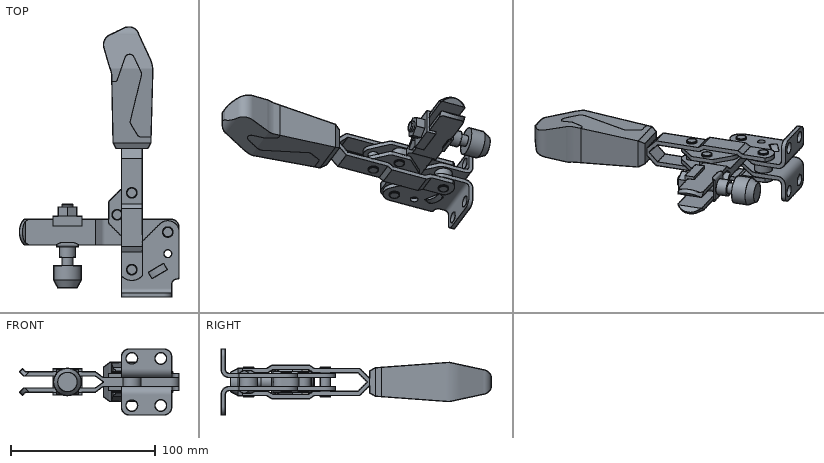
import cadquery as cq
import math


SHEET = 3.0
PLATE_IN = SHEET
PLATE_OUT = PLATE_IN + SHEET
MITRE_SHIFT = SHEET * math.tan(math.radians(45) / 2)
LEVER_IN = 6.4
LEVER_OUT = LEVER_IN + SHEET
PIN_R = 7.3 / 2
PIN_HEAD = 1.1
PIN_CHAMFER = 0.4
REACH = 37.5

LEVER_PIVOT = (0, 19.1)
ARM_PIVOT = (25.0, 45.2)
LINK_LEVER_PIN = (0, 72.4)
LINK_ARM_PIN = (-10.1, 57.2)

BASE_LEFT = -7.3
FOOT_RIGHT = 27.8
BASE_RIGHT = 32.8
BASE_TOP_R = 7.9
BASE_CORNER_R = 7.5
STEP_Y = 12.5
STEP_CORNER_R = 1.3
STEP_FILLET_R = 3.5
BEND_R = 5.8
FOOT_HALF_Z = 46.0 / 2
FOOT_CORNER_R = 5.6
FOOT_HOLE_R = 4.0
FOOT_HOLE_Z = 16.3
FOOT_HOLE_PITCH = 20.0
SPACER_R = 6.2
LOCK_HOLE = (25.0, 30.2)
LOCK_HOLE_R = 2.6
LUG_CENTER = (18.0, 18.2)
LUG_LENGTH = 12.4
LUG_WIDTH = 5.0
LUG_RISE = 1.9
LUG_ANGLE = 31

ARM_BOTTOM = 36.2
ARM_TOP = 54.2
ARM_MIDDLE_Y = (ARM_BOTTOM + ARM_TOP) / 2
ARM_TIP = -78.0
ARM_OUT = 7.1
ARM_IN = ARM_OUT - SHEET
ARM_SPREAD_X = -25.3
ARM_JOIN_X = -19.7
LIP_RISE = 3.0
LIP_SAG = 4.9
ARM_JOIN_R = 3.8
ARM_END_R = 5.8
EAR_R = 5.0

LINK_R = 7.1
LINK_LOW_Y = 45.2
LINK_NOSE_X = -16.1
LINK_NOSE_R = 2.8

LEVER_HALF_X = 7.3
LEVER_END_Y = 11.6
LEVER_SHOULDER_Y = 15.0
LEVER_TOP = 103.0
LEVER_FORK_Y = 96.2
BULGE = 2.2
BULGE_LOW = (31.5, 35.2)
BULGE_HIGH = (61.5, 64.7)

GRIP_COLLAR_Y = 107.0
GRIP_WIDEST_Y = 158.2
GRIP_HALF_Z = 13.7
GRIP_ROUND_Y = 181.7
GRIP_TOP = 187.5

SPINDLE_X = -44.6
STUD_R = 4.0
STUD_TOP = 64.7
STUD_CHAMFER = 0.8
PAD_R = 9.5
PAD_FACE_R = 6.8
PAD_BOTTOM, PAD_EDGE, PAD_TOP = 6.5, 11.8, 22.0
COLLAR_R = 5.6
COLLAR_BOTTOM = 27.5
NUT_FLATS = 13.0
NUT_HEIGHT = 6.4
SADDLE_HALF_X = 10.1
SADDLE_SHEET = 2.0
SADDLE_DEPTH = 4.7
WASHER_HALF_X = 7.5
WASHER_SHEET = 1.3
WASHER_SHOULDER = 0.4
WASHER_DEPTH = 1.7
WASHER_TAPER = 2.8
WASHER_BEND_R = 1.5


def slab(sketch, low, high):
    """Extrude an XY outline between two Z heights."""
    return sketch.extrude(high - low).translate((0, 0, low))


def disc(center, radius, low, high):
    return slab(cq.Workplane("XY").center(*center).circle(radius), low, high)


def box(x_range, y_range, z_range):
    sizes = [high - low for low, high in (x_range, y_range, z_range)]
    return cq.Workplane("XY").box(*sizes, centered=False).translate((x_range[0], y_range[0], z_range[0]))


def nearest(x, y, z):
    return cq.selectors.NearestToPointSelector((x, y, z))


def with_mirror(half):
    return half.union(half.mirror("XY"))


def pin(center, outer_face):
    """Pin through the full stack, with chamfered ends proud of the outer sheets."""
    half_length = outer_face + PIN_HEAD
    return disc(center, PIN_R, -half_length, half_length).faces("<Z or >Z").chamfer(PIN_CHAMFER)


def pin_hole(center):
    return disc(center, PIN_R, -LEVER_OUT, LEVER_OUT)


def base_web():
    diagonal = BASE_TOP_R * math.sqrt(0.5)
    tangent_x = ARM_PIVOT[0] - diagonal
    tangent_y = ARM_PIVOT[1] + diagonal
    left_corner_y = tangent_y - (tangent_x - BASE_LEFT)
    outline = (
        cq.Workplane("XY")
        .moveTo(BASE_LEFT, BEND_R)
        .lineTo(BASE_LEFT, left_corner_y)
        .lineTo(tangent_x, tangent_y)
        .threePointArc(
            (ARM_PIVOT[0] + diagonal, ARM_PIVOT[1] + diagonal),
            (ARM_PIVOT[0] + BASE_TOP_R, ARM_PIVOT[1]),
        )
        .lineTo(BASE_RIGHT, STEP_Y)
        .lineTo(FOOT_RIGHT, STEP_Y)
        .lineTo(FOOT_RIGHT, BEND_R)
        .close()
    )
    web = slab(outline, PLATE_IN, PLATE_OUT)
    middle_z = (PLATE_IN + PLATE_OUT) / 2
    web = web.edges(nearest(BASE_LEFT, left_corner_y, middle_z)).fillet(BASE_CORNER_R)
    web = web.edges(nearest(FOOT_RIGHT, STEP_Y, middle_z)).fillet(STEP_FILLET_R)
    return web.edges(nearest(BASE_RIGHT, STEP_Y, middle_z)).fillet(STEP_CORNER_R)


def base_foot():
    inner_r = BEND_R - SHEET
    bend_z = PLATE_IN + BEND_R
    slope = math.sqrt(0.5)
    foot = (
        cq.Workplane("YZ")
        .moveTo(BEND_R, PLATE_IN)
        .threePointArc((BEND_R * (1 - slope), bend_z - BEND_R * slope), (0, bend_z))
        .lineTo(0, FOOT_HALF_Z)
        .lineTo(SHEET, FOOT_HALF_Z)
        .lineTo(SHEET, bend_z)
        .threePointArc((BEND_R - inner_r * slope, bend_z - inner_r * slope), (BEND_R, PLATE_OUT))
        .close()
        .extrude(FOOT_RIGHT - BASE_LEFT)
        .translate((BASE_LEFT, 0, 0))
    )
    foot = foot.faces(">Z").edges("|Y").fillet(FOOT_CORNER_R)
    holes = (
        cq.Workplane("XZ")
        .pushPoints([(0, FOOT_HOLE_Z), (FOOT_HOLE_PITCH, FOOT_HOLE_Z)])
        .circle(FOOT_HOLE_R)
        .extrude(-SHEET)
    )
    return foot.cut(holes)


def base_lug():
    """Slanted arched bump pressed out of the plate."""
    return (
        cq.Workplane("XZ")
        .moveTo(-LUG_LENGTH / 2, 0)
        .threePointArc((0, LUG_RISE), (LUG_LENGTH / 2, 0))
        .close()
        .extrude(LUG_WIDTH / 2, both=True)
        .rotate((0, 0, 0), (0, 0, 1), LUG_ANGLE)
        .translate((*LUG_CENTER, PLATE_OUT))
    )


def make_base():
    plate = base_web().union(base_foot()).union(base_lug())
    plate = plate.cut(disc(LOCK_HOLE, LOCK_HOLE_R, PLATE_IN, PLATE_OUT))
    spacer = disc(LEVER_PIVOT, SPACER_R, -PLATE_IN, PLATE_IN)
    base = with_mirror(plate).union(spacer)
    return base.union(pin(LEVER_PIVOT, LEVER_OUT)).union(pin(ARM_PIVOT, PLATE_OUT))


def arm_sheet():
    """Upper sheet with its flared lip, down to the middle plane."""
    lip = SHEET * math.sqrt(0.5)
    inner_bend_x = ARM_TIP + LIP_RISE
    profile = [
        (inner_bend_x, ARM_IN),
        (ARM_TIP, ARM_IN + LIP_RISE),
        (ARM_TIP + lip, ARM_IN + LIP_RISE + lip),
        (inner_bend_x + MITRE_SHIFT, ARM_OUT),
        (ARM_SPREAD_X, ARM_OUT),
        (ARM_JOIN_X, SHEET),
        (BASE_RIGHT, SHEET),
        (BASE_RIGHT, 0),
        (ARM_JOIN_X, 0),
        (ARM_SPREAD_X, ARM_IN),
    ]
    sheet = cq.Workplane("XZ").polyline(profile).close().extrude(ARM_BOTTOM - ARM_TOP)
    sheet = sheet.translate((0, ARM_BOTTOM, 0))
    sheet = sheet.edges(nearest(ARM_JOIN_X, ARM_MIDDLE_Y, SHEET)).fillet(ARM_JOIN_R)
    return sheet.edges("|Z and >X").fillet(ARM_END_R)


def lip_trim():
    """Waste outside the rounded tip, cut square to the 45 degree lip."""
    half_width = (ARM_TOP - ARM_BOTTOM) / 2
    depth = 2 * SHEET
    lip_plane = cq.Plane(
        origin=(ARM_TIP, ARM_MIDDLE_Y, ARM_IN + LIP_RISE), xDir=(1, 0, -1), normal=(1, 0, 1)
    )
    return (
        cq.Workplane(lip_plane)
        .moveTo(LIP_SAG, -half_width)
        .threePointArc((0, 0), (LIP_SAG, half_width))
        .lineTo(-SHEET, half_width)
        .lineTo(-SHEET, -half_width)
        .close()
        .extrude(depth, both=True)
    )


def make_arm():
    sheets = with_mirror(arm_sheet().cut(lip_trim()))
    ear_x, ear_y = LINK_ARM_PIN
    ear = disc(LINK_ARM_PIN, EAR_R, -SHEET, SHEET).union(
        box((ear_x - EAR_R, ear_x + EAR_R), (ARM_MIDDLE_Y, ear_y), (-SHEET, SHEET))
    )
    return sheets.union(ear).cut(pin_hole(LINK_ARM_PIN)).cut(pin_hole(ARM_PIVOT))


def link_plate():
    top_y = LINK_LEVER_PIN[1]
    plate = disc(LINK_LEVER_PIN, LINK_R, PLATE_IN, PLATE_OUT)
    plate = plate.union(disc((0, LINK_LOW_Y), LINK_R, PLATE_IN, PLATE_OUT))
    tangent = LINK_R * math.sqrt(0.5)
    nose_run = -tangent - LINK_NOSE_X
    body = cq.Workplane("XY").polyline([
        (LINK_R, LINK_LOW_Y),
        (LINK_R, top_y),
        (0, top_y),
        (-tangent, top_y + tangent),
        (LINK_NOSE_X, top_y + tangent - nose_run),
        (LINK_NOSE_X, LINK_LOW_Y - tangent + nose_run),
        (-tangent, LINK_LOW_Y - tangent),
        (0, LINK_LOW_Y),
    ]).close()
    nose = slab(body, PLATE_IN, PLATE_OUT).faces("<X").edges("|Z").fillet(LINK_NOSE_R)
    return plate.union(nose)


def make_link():
    plates = with_mirror(link_plate())
    return plates.union(pin(LINK_LEVER_PIN, LEVER_OUT)).union(pin(LINK_ARM_PIN, PLATE_OUT))


def make_lever():
    apex_y = LEVER_FORK_Y - MITRE_SHIFT + LEVER_IN
    bulge_shift = SHEET * math.tan(math.atan2(BULGE, BULGE_HIGH[1] - BULGE_HIGH[0]) / 2)
    upper_half = [
        (0, LEVER_OUT),
        (BULGE_LOW[0], LEVER_OUT),
        (BULGE_LOW[1], LEVER_OUT + BULGE),
        (BULGE_HIGH[0], LEVER_OUT + BULGE),
        (BULGE_HIGH[1], LEVER_OUT),
        (LEVER_FORK_Y, LEVER_OUT),
        (LEVER_TOP, LEVER_OUT - (LEVER_TOP - LEVER_FORK_Y)),
        (LEVER_TOP, 0),
        (apex_y, 0),
        (LEVER_FORK_Y - MITRE_SHIFT, LEVER_IN),
        (BULGE_HIGH[1] - bulge_shift, LEVER_IN),
        (BULGE_HIGH[0] - bulge_shift, LEVER_IN + BULGE),
        (BULGE_LOW[1] + bulge_shift, LEVER_IN + BULGE),
        (BULGE_LOW[0] + bulge_shift, LEVER_IN),
        (0, LEVER_IN),
    ]
    legs = with_mirror(cq.Workplane("YZ").polyline(upper_half).close().extrude(LEVER_HALF_X, both=True))
    plan = (
        cq.Workplane("XY")
        .moveTo(-LEVER_HALF_X, LEVER_SHOULDER_Y)
        .threePointArc((0, LEVER_END_Y), (LEVER_HALF_X, LEVER_SHOULDER_Y))
        .lineTo(LEVER_HALF_X, LEVER_TOP)
        .lineTo(-LEVER_HALF_X, LEVER_TOP)
        .close()
    )
    lever = legs.intersect(slab(plan, -REACH, REACH))
    for center in (LEVER_PIVOT, LINK_LEVER_PIN):
        lever = lever.cut(pin_hole(center))
    return lever


def grip_shape():
    plan = (
        cq.Workplane("XY")
        .moveTo(-10.9, LEVER_TOP)
        .lineTo(11.0, LEVER_TOP)
        .lineTo(13.3, GRIP_COLLAR_Y)
        .lineTo(14.6, 155.6)
        .threePointArc((14.2, 160.7), (12.2, 166.5))
        .lineTo(4.9, 182.2)
        .threePointArc((2.6, 185.8), (-1.9, GRIP_TOP))
        .lineTo(-4.5, 187.1)
        .lineTo(-15.8, GRIP_ROUND_Y)
        .threePointArc((-19.0, 178.3), (-19.3, 172.5))
        .lineTo(-15.5, 159.5)
        .threePointArc((-14.6, 157.1), (-14.0, 154.5))
        .lineTo(-13.1, GRIP_COLLAR_Y)
        .close()
    )
    side = (
        cq.Workplane("YZ")
        .moveTo(LEVER_TOP, 0)
        .lineTo(LEVER_TOP, 7.7)
        .lineTo(GRIP_COLLAR_Y, 10.0)
        .lineTo(GRIP_WIDEST_Y, GRIP_HALF_Z)
        .lineTo(GRIP_ROUND_Y, 8.6)
        .threePointArc((185.5, 7.0), (GRIP_TOP, 3.5))
        .lineTo(GRIP_TOP, 0)
        .close()
        .extrude(REACH, both=True)
    )
    return slab(plan, -REACH, REACH).intersect(with_mirror(side))


def seam_region():
    """Region on the head side of the seam."""
    seam = [
        (-10.5, 149.5, 1.9),
        (-2.0, 174.0, 3.4),
        (7.0, 155.0, 3.8),
        (-1.3, 121.1, 1.9),
        (4.7, 111.2, 2.2),
    ]
    start = (-REACH, seam[0][1])
    end = (REACH, seam[-1][1])
    points = [start] + [(x, y) for x, y, radius in seam]
    points += [end, (REACH, GRIP_TOP + REACH), (-REACH, GRIP_TOP + REACH)]
    region = slab(cq.Workplane("XY").polyline(points).close(), -REACH, REACH)
    for x, y, radius in seam:
        region = region.edges(nearest(x, y, 0)).fillet(radius)
    return region


def make_grip_sleeve():
    return grip_shape().cut(seam_region())


def make_grip_head():
    return grip_shape().intersect(seam_region())


def spindle_stud():
    profile = [
        (0, PAD_BOTTOM),
        (PAD_FACE_R, PAD_BOTTOM),
        (PAD_R, PAD_EDGE),
        (PAD_R, PAD_TOP),
        (STUD_R, PAD_TOP),
        (STUD_R, COLLAR_BOTTOM),
        (COLLAR_R, COLLAR_BOTTOM),
        (COLLAR_R, ARM_BOTTOM),
        (STUD_R, ARM_BOTTOM),
        (STUD_R, STUD_TOP - STUD_CHAMFER),
        (STUD_R - STUD_CHAMFER, STUD_TOP),
        (0, STUD_TOP),
    ]
    return cq.Workplane("XY").polyline(profile).close().revolve(360, (0, 0, 0), (0, 1, 0))


def spindle_nut():
    corner_diameter = NUT_FLATS / math.cos(math.pi / 6)
    return (
        cq.Workplane("XZ")
        .polygon(6, corner_diameter)
        .extrude(-NUT_HEIGHT)
        .rotate((0, 0, 0), (0, 1, 0), 90)
        .translate((0, ARM_TOP + SADDLE_SHEET, 0))
    )


def saddle():
    """Flat plate on the arm's upper edge with a flange down each side."""
    half_z = ARM_OUT + SADDLE_SHEET
    x_range = (-SADDLE_HALF_X, SADDLE_HALF_X)
    plate = box(x_range, (ARM_TOP, ARM_TOP + SADDLE_SHEET), (-half_z, half_z))
    flange = box(x_range, (ARM_TOP - SADDLE_DEPTH, ARM_TOP + SADDLE_SHEET), (ARM_OUT, half_z))
    return plate.union(with_mirror(flange))


def washer():
    """Flat plate on the arm's lower edge with a tapered flange up each side."""
    half_z = ARM_OUT + WASHER_SHEET
    bottom = ARM_BOTTOM - WASHER_SHEET
    shoulder = ARM_BOTTOM + WASHER_SHOULDER
    top_half_x = WASHER_HALF_X - WASHER_TAPER
    plate = box((-WASHER_HALF_X, WASHER_HALF_X), (bottom, ARM_BOTTOM), (-half_z, half_z))
    outline = cq.Workplane("XY").polyline([
        (-WASHER_HALF_X, bottom),
        (WASHER_HALF_X, bottom),
        (WASHER_HALF_X, shoulder),
        (top_half_x, ARM_BOTTOM + WASHER_DEPTH),
        (-top_half_x, ARM_BOTTOM + WASHER_DEPTH),
        (-WASHER_HALF_X, shoulder),
    ]).close()
    channel = plate.union(with_mirror(slab(outline, ARM_OUT, half_z)))
    return channel.faces("<Y").edges("|X").fillet(WASHER_BEND_R)


def make_spindle():
    spindle = spindle_stud().union(spindle_nut()).union(saddle()).union(washer())
    return spindle.translate((SPINDLE_X, 0, 0))


base = make_base()
arm = make_arm()
link = make_link()
lever = make_lever()
grip_sleeve = make_grip_sleeve()
grip_head = make_grip_head()
spindle = make_spindle()

bodies = [base, arm, link, lever, grip_sleeve, grip_head, spindle]
result = cq.Compound.makeCompound([body.solids().val() for body in bodies])